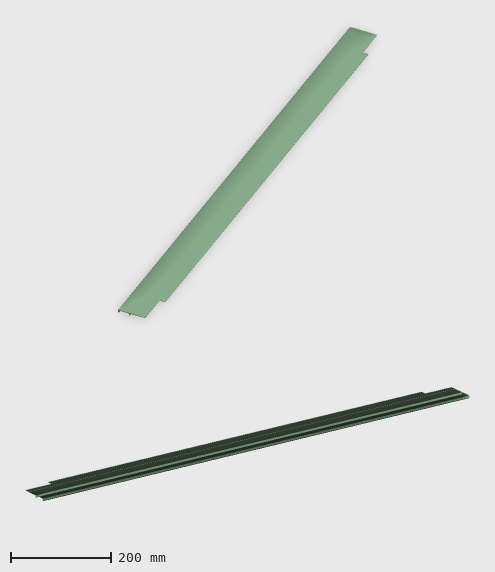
import cadquery as cq

length = 1050.0
width = 74.0
height = 6.1

plate_thickness = 1.6
tongue_thickness = 1.0
tongue_start = 50.0
lip_width = 3.0
lip_radius = 2.0
rib_position = 25.0
rib_width = 1.6

notch_width = 13.0
notch_length = 65.0


def make_plate():
    """Long strip with a rounded, downturned edge and a thinner tongue."""
    underside = height - plate_thickness
    tongue_underside = height - tongue_thickness
    return (
        cq.Workplane("XZ")
        .moveTo(0, 0)
        .lineTo(lip_width, 0)
        .lineTo(lip_width, underside)
        .lineTo(tongue_start, underside)
        .lineTo(tongue_start, tongue_underside)
        .lineTo(width, tongue_underside)
        .lineTo(width, height)
        .lineTo(lip_radius, height)
        .radiusArc((0, height - lip_radius), -lip_radius)
        .close()
        .extrude(-length)
    )


def make_rib():
    """Narrow full-length rib under the plate, level with the lip."""
    rib_height = height - plate_thickness / 2
    return (
        cq.Workplane("XY")
        .box(rib_width, length, rib_height, centered=False)
        .translate((rib_position, 0, 0))
    )


def make_notch(y_start):
    """Cutter for one corner notch through the full height."""
    return (
        cq.Workplane("XY")
        .box(notch_width, notch_length, height, centered=False)
        .translate((width - notch_width, y_start, 0))
    )


result = make_plate().union(make_rib())
for notch_start in (0, length - notch_length):
    result = result.cut(make_notch(notch_start))